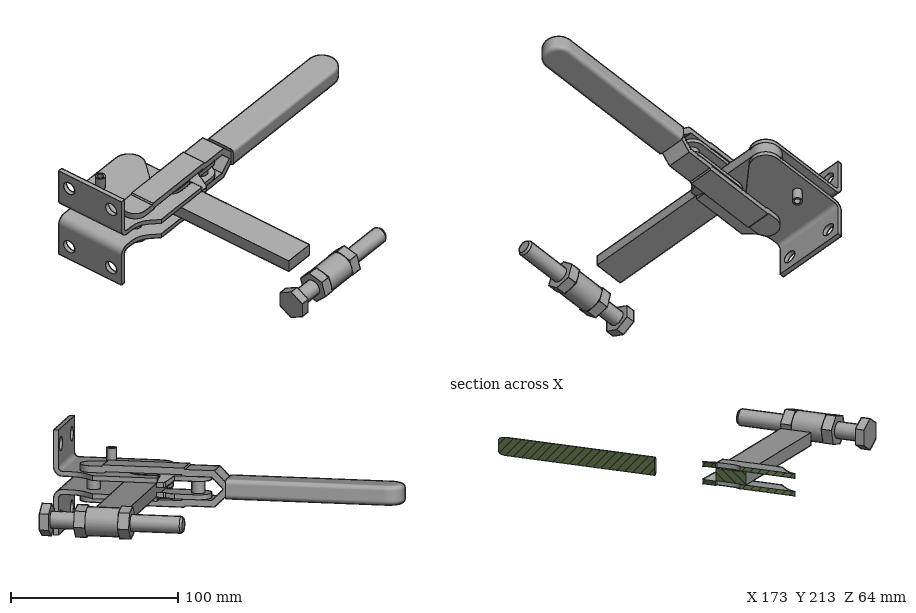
import cadquery as cq
import math


ARM_THICKNESS = 8.0
ARM_HEIGHT = 20.0
ARM_LENGTH = 139.7
ARM_TOP = 65.2
ARM_MIDDLE = ARM_TOP - ARM_HEIGHT / 2

PLATE = 3.0
PLATE_INNER = ARM_THICKNESS / 2
PLATE_OUTER = PLATE_INNER + PLATE
BASE_SPAN = 64.0
FOOT_WIDTH = 48.0
BASE_WIDTH = 57.7
BEND_INNER = 2.8
BEND_OUTER = BEND_INNER + PLATE
CORNER_RADIUS = ARM_HEIGHT / 2
SLOT_CLEARANCE = 2.0
NECK_START = 9.8
NECK_RADIUS = 15.5

FOOT_HOLE = 8.5
FOOT_HOLE_EDGE = 8.0
FOOT_HOLE_PITCH = 32.0
FOOT_HOLE_Z = 22.4

SPACER_PIN_X = 10.0
SPACER_PIN_Y = 27.7
SPACER_PIN_RADIUS = 3.0
SPACER_PIN_BORE = 2.0
SPACER_PIN_LENGTH = 30.7

HANDLE_X = 40.0
STRIP_WIDTH = 16.2
STRIP_RADIUS = STRIP_WIDTH / 2
PIVOT_RADIUS = 4.0

LINK_TOP = 87.0
TAB_END = 58.0
TAB_INNER_END = 1.5
TAB_HEIGHT = 8.7
TAB_END_HEIGHT = 5.1
TAB_CHAMFER = 1.0

FORK_SHEET = 4.0
FORK_PIVOT_Y = 23.0
FORK_STEP = 0.9
FORK_LOWER_STEP = 29.5
FORK_UPPER_STEP = 79.7
FORK_CROTCH = 103.7

GRIP_START = 105.5
GRIP_END = 213.0
GRIP_WIDTH = 20.0
GRIP_THICKNESS = 12.0
GRIP_FILLET = 2.8

SPINDLE_X = 163.5
SHAFT_RADIUS = 5.1
SHAFT_TIP = 103.5
TIP_CHAMFER_LENGTH = 1.5
TIP_CHAMFER_DEPTH = 1.0
HEX_FLATS = 17.0
HEX_CORNERS = HEX_FLATS / math.cos(math.radians(30))
HEAD_BOTTOM = 17.3
HEAD_HEIGHT = 5.8
NUT_HEIGHT = 6.8
NUT_TURN = 13.5
SPACER_RADIUS = 8.7


def on_polar(centre, radius, degrees):
    """Point on a circle, at an angle measured from the first axis towards the second."""
    angle = math.radians(degrees)
    return centre[0] + radius * math.cos(angle), centre[1] + radius * math.sin(angle)


def cylinder_z(x, y, radius, half_length):
    """Cylinder along Z, centred on the middle plane."""
    bottom = cq.Workplane("XY", origin=(x, y, -half_length))
    return bottom.circle(radius).extrude(2 * half_length)


def both_sides(half):
    """A shape and its mirror image below the middle plane."""
    return half.union(half.mirror("XY"))


def base_outline():
    """Side plate outline: rounded corner, slot for the link, and a necked lower right edge."""
    corner = (CORNER_RADIUS, ARM_TOP - CORNER_RADIUS)
    slot = (HANDLE_X, ARM_MIDDLE)
    slot_radius = STRIP_RADIUS + SLOT_CLEARANCE
    slope = math.degrees(math.asin((CORNER_RADIUS + slot_radius) / (slot[0] - corner[0])))
    slope_normal = 90 - slope
    slot_start = 180 + slope_normal
    neck_centre = (FOOT_WIDTH + NECK_RADIUS, NECK_START)
    neck_end = on_polar(neck_centre, NECK_RADIUS, 135)
    return (
        cq.Workplane("XY")
        .moveTo(0, BEND_OUTER)
        .lineTo(0, corner[1])
        .threePointArc(
            on_polar(corner, CORNER_RADIUS, (180 + slope_normal) / 2),
            on_polar(corner, CORNER_RADIUS, slope_normal),
        )
        .lineTo(*on_polar(slot, slot_radius, slot_start))
        .threePointArc(
            on_polar(slot, slot_radius, (slot_start + 360) / 2),
            on_polar(slot, slot_radius, 360),
        )
        .lineTo(slot[0] + slot_radius, ARM_TOP)
        .lineTo(BASE_WIDTH, ARM_TOP)
        .lineTo(BASE_WIDTH, neck_end[1] + BASE_WIDTH - neck_end[0])
        .lineTo(*neck_end)
        .threePointArc(on_polar(neck_centre, NECK_RADIUS, 157.5), (FOOT_WIDTH, NECK_START))
        .lineTo(FOOT_WIDTH, BEND_OUTER)
        .close()
    )


def base_foot():
    """Outward bend and drilled foot of the upper plate."""
    bend_centre = (BEND_OUTER, PLATE_OUTER + BEND_INNER)
    foot = (
        cq.Workplane("YZ")
        .moveTo(BEND_OUTER, PLATE_INNER)
        .threePointArc(on_polar(bend_centre, BEND_OUTER, 225), (0, bend_centre[1]))
        .lineTo(0, BASE_SPAN / 2)
        .lineTo(PLATE, BASE_SPAN / 2)
        .lineTo(PLATE, bend_centre[1])
        .threePointArc(on_polar(bend_centre, BEND_INNER, 225), (BEND_OUTER, PLATE_OUTER))
        .close()
        .extrude(FOOT_WIDTH)
    )
    for hole_x in (FOOT_HOLE_EDGE, FOOT_HOLE_EDGE + FOOT_HOLE_PITCH):
        hole = (
            cq.Workplane("XZ")
            .center(hole_x, FOOT_HOLE_Z)
            .circle(FOOT_HOLE / 2)
            .extrude(-PLATE)
        )
        foot = foot.cut(hole)
    return foot


def make_base():
    """Two mirrored plates with feet, joined by the bored pin."""
    half_pin = SPACER_PIN_LENGTH / 2
    plate = base_outline().extrude(PLATE).translate((0, 0, PLATE_INNER)).union(base_foot())
    pin = cylinder_z(SPACER_PIN_X, SPACER_PIN_Y, SPACER_PIN_RADIUS, half_pin)
    pivot_hole = cylinder_z(HANDLE_X, FORK_PIVOT_Y, PIVOT_RADIUS, PLATE_OUTER)
    bore = (
        cq.Workplane("XY", origin=(SPACER_PIN_X, SPACER_PIN_Y, PLATE_OUTER))
        .circle(SPACER_PIN_BORE)
        .extrude(half_pin - PLATE_OUTER)
    )
    return both_sides(plate).union(pin).cut(both_sides(bore)).cut(pivot_hole)


def make_arm():
    """Flat bar with a full round left end."""
    end = (CORNER_RADIUS, ARM_MIDDLE)
    bar = (
        cq.Workplane("XY")
        .moveTo(ARM_LENGTH, ARM_TOP)
        .lineTo(end[0], ARM_TOP)
        .threePointArc((0, end[1]), (end[0], ARM_TOP - ARM_HEIGHT))
        .lineTo(ARM_LENGTH, ARM_TOP - ARM_HEIGHT)
        .close()
    )
    return bar.extrude(ARM_THICKNESS / 2, both=True)


def stop_tab():
    """Tab that leaves the upper link's right edge and leans inwards over the arm."""
    root = HANDLE_X + STRIP_RADIUS
    lean = PLATE_INNER - TAB_INNER_END
    sheet = (
        cq.Workplane("XZ")
        .polyline([
            (HANDLE_X, PLATE_INNER),
            (root, PLATE_INNER),
            (TAB_END, PLATE_INNER - lean),
            (TAB_END, PLATE_OUTER - lean),
            (root, PLATE_OUTER),
            (HANDLE_X, PLATE_OUTER),
        ])
        .close()
        .extrude(-TAB_HEIGHT)
        .translate((0, ARM_TOP, 0))
    )
    outline = (
        cq.Workplane("XY")
        .polyline([
            (HANDLE_X, ARM_TOP),
            (TAB_END, ARM_TOP),
            (TAB_END, ARM_TOP + TAB_END_HEIGHT - TAB_CHAMFER),
            (TAB_END - TAB_CHAMFER, ARM_TOP + TAB_END_HEIGHT),
            (root, ARM_TOP + TAB_HEIGHT),
            (HANDLE_X, ARM_TOP + TAB_HEIGHT),
        ])
        .close()
        .extrude(PLATE_OUTER)
    )
    return sheet.intersect(outline)


def make_link():
    """Two round-ended strips beside the arm, joined by a pivot above it."""
    strip = (
        cq.Workplane("XY", origin=(HANDLE_X, (LINK_TOP + ARM_MIDDLE) / 2, PLATE_INNER))
        .slot2D(LINK_TOP - ARM_MIDDLE + STRIP_WIDTH, STRIP_WIDTH, 90)
        .extrude(PLATE)
    )
    pivot = cylinder_z(HANDLE_X, LINK_TOP, PIVOT_RADIUS, PLATE_INNER)
    return both_sides(strip.union(stop_tab())).union(pivot)


def make_handle():
    """Forked sheet handle, stepped outwards around the base, with its lower pivot."""
    stepped = PLATE_OUTER + FORK_STEP
    miter = FORK_SHEET * math.tan(math.radians(22.5))
    crotch_end = FORK_CROTCH - PLATE_OUTER
    bottom = FORK_PIVOT_Y - STRIP_RADIUS
    inner_edge = [
        (bottom, PLATE_OUTER),
        (FORK_LOWER_STEP + miter, PLATE_OUTER),
        (FORK_LOWER_STEP + FORK_STEP + miter, stepped),
        (FORK_UPPER_STEP - miter, stepped),
        (FORK_UPPER_STEP + FORK_STEP - miter, PLATE_OUTER),
        (crotch_end, PLATE_OUTER),
        (FORK_CROTCH, 0),
    ]
    shoulder = crotch_end + miter
    outer_edge = [
        (GRIP_START, 0),
        (GRIP_START, PLATE_OUTER + FORK_SHEET - (GRIP_START - shoulder)),
        (shoulder, PLATE_OUTER + FORK_SHEET),
        (FORK_UPPER_STEP + FORK_STEP, PLATE_OUTER + FORK_SHEET),
        (FORK_UPPER_STEP, stepped + FORK_SHEET),
        (FORK_LOWER_STEP + FORK_STEP, stepped + FORK_SHEET),
        (FORK_LOWER_STEP, PLATE_OUTER + FORK_SHEET),
        (bottom, PLATE_OUTER + FORK_SHEET),
    ]
    prong = (
        cq.Workplane("YZ")
        .polyline(inner_edge + outer_edge)
        .close()
        .extrude(STRIP_RADIUS, both=True)
        .translate((HANDLE_X, 0, 0))
    )
    outline = (
        cq.Workplane("XY")
        .moveTo(HANDLE_X - STRIP_RADIUS, GRIP_START)
        .lineTo(HANDLE_X - STRIP_RADIUS, FORK_PIVOT_Y)
        .threePointArc((HANDLE_X, bottom), (HANDLE_X + STRIP_RADIUS, FORK_PIVOT_Y))
        .lineTo(HANDLE_X + STRIP_RADIUS, GRIP_START)
        .close()
        .extrude(stepped + FORK_SHEET)
    )
    pivot = cylinder_z(HANDLE_X, FORK_PIVOT_Y, PIVOT_RADIUS, PLATE_OUTER)
    return both_sides(prong.intersect(outline)).union(pivot)


def make_grip():
    """Bar with a round far end and filleted long edges."""
    half_width = GRIP_WIDTH / 2
    round_start = GRIP_END - half_width
    return (
        cq.Workplane("XY")
        .moveTo(HANDLE_X - half_width, GRIP_START)
        .lineTo(HANDLE_X - half_width, round_start)
        .threePointArc((HANDLE_X, GRIP_END), (HANDLE_X + half_width, round_start))
        .lineTo(HANDLE_X + half_width, GRIP_START)
        .close()
        .extrude(GRIP_THICKNESS / 2, both=True)
        .edges("|Y or %CIRCLE")
        .fillet(GRIP_FILLET)
    )


def spindle_section(bottom, turn=0):
    """Sketch plane across the spindle axis at a height Y, facing +Y."""
    plane = cq.Plane(origin=(SPINDLE_X, bottom, 0), xDir=(1, 0, 0), normal=(0, 1, 0))
    return cq.Workplane(plane.rotated((0, 0, turn)))


def make_spindle():
    """Hexagon screw with two nuts and the spacer between them."""
    arm_bottom = ARM_TOP - ARM_HEIGHT
    spindle = (
        spindle_section(HEAD_BOTTOM)
        .circle(SHAFT_RADIUS)
        .extrude(SHAFT_TIP - HEAD_BOTTOM)
        .faces(">Y")
        .chamfer(TIP_CHAMFER_LENGTH, TIP_CHAMFER_DEPTH)
    )
    head = spindle_section(HEAD_BOTTOM, 90).polygon(6, HEX_CORNERS).extrude(HEAD_HEIGHT)
    spacer = spindle_section(arm_bottom).circle(SPACER_RADIUS).extrude(ARM_HEIGHT)
    spindle = spindle.union(head).union(spacer)
    for nut_bottom in (arm_bottom - NUT_HEIGHT, ARM_TOP):
        nut = spindle_section(nut_bottom, NUT_TURN).polygon(6, HEX_CORNERS).extrude(NUT_HEIGHT)
        spindle = spindle.union(nut)
    return spindle


base = make_base()
arm = make_arm()
link = make_link()
handle = make_handle()
grip = make_grip()
spindle = make_spindle()

result = cq.Compound.makeCompound([
    base.val(),
    arm.val(),
    link.val(),
    handle.val(),
    grip.val(),
    spindle.val(),
])